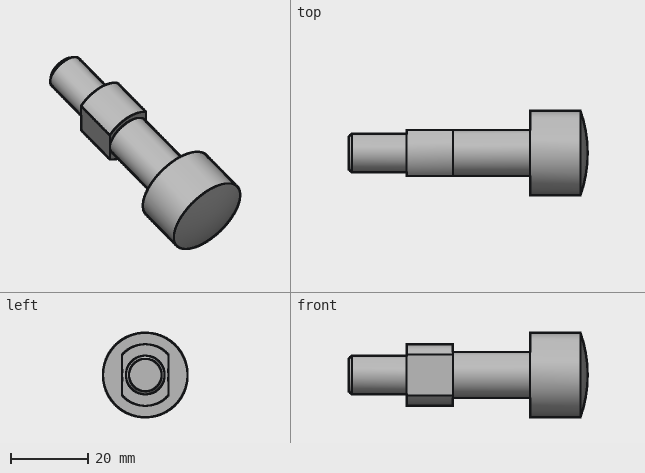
import cadquery as cq
import math

total_length = 61.9
head_diameter = 22.0

tip_diameter = 10.05
tip_length = 15.0
tip_chamfer = 0.8

collar_diameter = 16.0
collar_length = 12.0

shank_diameter = 12.0
shank_length = 20.0

dome_height = 1.9

collar_start = tip_length
shank_start = collar_start + collar_length
head_start = shank_start + shank_length
head_length = total_length - head_start
head_side_length = head_length - dome_height


def cylinder_along_x(start, length, diameter):
    return cq.Workplane("YZ", origin=(start, 0, 0)).circle(diameter / 2).extrude(length)


def make_tip():
    return cylinder_along_x(0, tip_length, tip_diameter).faces("<X").chamfer(tip_chamfer)


def make_collar():
    collar = cylinder_along_x(collar_start, collar_length, collar_diameter)
    flats = (
        cq.Workplane("YZ", origin=(collar_start, 0, 0))
        .rect(shank_diameter, collar_diameter)
        .extrude(collar_length)
    )
    return collar.intersect(flats)


def dome_middle(dome_start, rim_radius):
    """Point halfway along the spherical dome's arc, between its rim and its tip."""
    dome_radius = (rim_radius**2 + dome_height**2) / (2 * dome_height)
    half_angle = math.asin(rim_radius / dome_radius) / 2
    centre_x = dome_start + dome_height - dome_radius
    return (centre_x + dome_radius * math.cos(half_angle), dome_radius * math.sin(half_angle))


def make_head():
    head_radius = head_diameter / 2
    dome_start = head_start + head_side_length
    return (
        cq.Workplane("XY")
        .moveTo(head_start, 0)
        .lineTo(head_start, head_radius)
        .lineTo(dome_start, head_radius)
        .threePointArc(dome_middle(dome_start, head_radius), (total_length, 0))
        .close()
        .revolve(360, (0, 0, 0), (1, 0, 0))
    )


shank = cylinder_along_x(shank_start, shank_length, shank_diameter)

result = make_tip().union(make_collar()).union(shank).union(make_head())